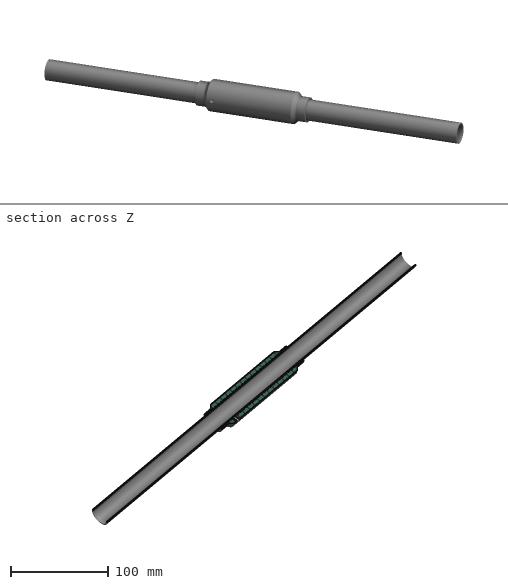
import cadquery as cq

tube_length = 450.0
tube_diameter = 22.0
tube_bore = 19.6

sleeve_length = 120.0
sleeve_bore = 22.3
neck_diameter = 26.0
neck_length = 10.0
barrel_diameter = 33.7
barrel_length = sleeve_length - 2 * neck_length
shoulder_size = (barrel_diameter - neck_diameter) / 2

vent_diameter = 4.0
vent_inset = 10.0
vent_x = -barrel_length / 2 + vent_inset
vent_z = 1.5


def centred_cylinder(diameter, length):
    """Cylinder along X, centred on the origin."""
    return cq.Workplane("YZ", origin=(-length / 2, 0, 0)).circle(diameter / 2).extrude(length)


def make_tube():
    return centred_cylinder(tube_diameter, tube_length).cut(centred_cylinder(tube_bore, tube_length))


def make_vent_cutter():
    """Cylinder along Y from the mid-plane out through the -Y side of the barrel."""
    return (
        cq.Workplane("XZ")
        .center(vent_x, vent_z)
        .circle(vent_diameter / 2)
        .extrude(barrel_diameter / 2)
    )


def make_sleeve():
    barrel = centred_cylinder(barrel_diameter, barrel_length).faces("<X or >X").chamfer(shoulder_size)
    necks = centred_cylinder(neck_diameter, sleeve_length)
    bore = centred_cylinder(sleeve_bore, sleeve_length)
    return barrel.union(necks).cut(bore).cut(make_vent_cutter())


tube = make_tube()
sleeve = make_sleeve()

result = cq.Compound.makeCompound([tube.val(), sleeve.val()])